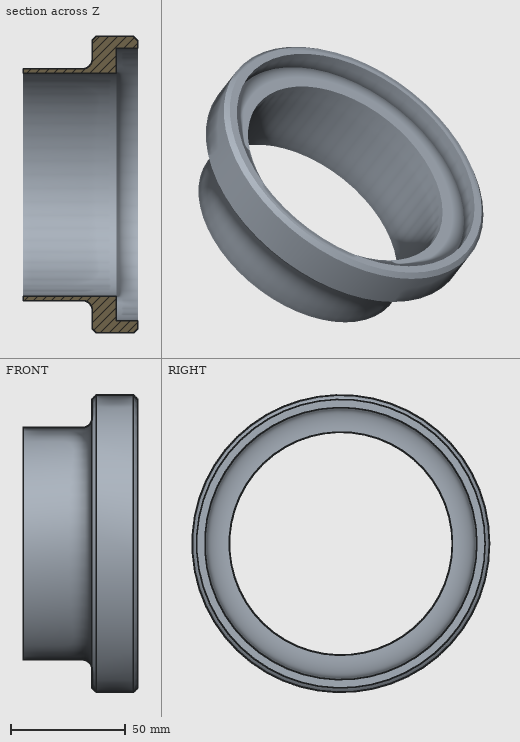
import cadquery as cq

flange_diameter = 130.0
tube_diameter = 101.7
bore_diameter = 97.4
counterbore_diameter = 119.0
counterbore_depth = 9.4
total_length = 50.0
flange_thickness = 20.0
chamfer_size = 2.0
fillet_radius = 4.0

flange_radius = flange_diameter / 2
tube_radius = tube_diameter / 2
bore_radius = bore_diameter / 2
counterbore_radius = counterbore_diameter / 2
flange_start = total_length - flange_thickness


def cylinder_along_x(start, length, radius):
    """Solid cylinder around the X axis."""
    return cq.Workplane("YZ").workplane(offset=start).circle(radius).extrude(length)


flange = cylinder_along_x(flange_start, flange_thickness, flange_radius)
flange = flange.edges("%CIRCLE").chamfer(chamfer_size)

tube = cylinder_along_x(0, flange_start + flange_thickness / 2, tube_radius)
body = flange.union(tube)
root_edge = cq.selectors.BoxSelector(
    (flange_start - chamfer_size / 2, -tube_diameter, -tube_diameter),
    (flange_start + chamfer_size / 2, tube_diameter, tube_diameter),
)
root_edges = body.edges(root_edge).edges(cq.selectors.RadiusNthSelector(0))
body = root_edges.fillet(fillet_radius)

bore = cylinder_along_x(0, total_length, bore_radius)
counterbore = cylinder_along_x(total_length - counterbore_depth, counterbore_depth, counterbore_radius)
result = body.cut(bore).cut(counterbore)